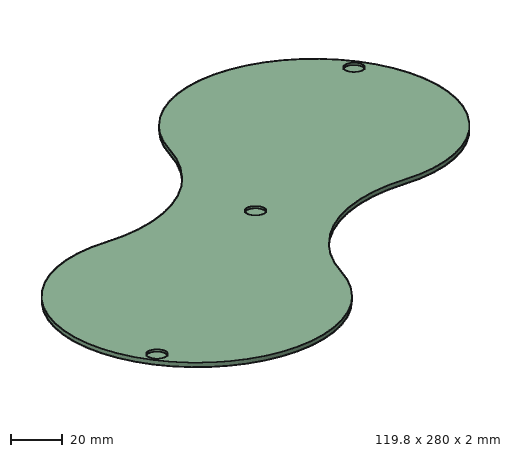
import cadquery as cq
import math

length = 280.0
lobe_diameter = 119.8
waist_width = 65.0
thickness = 2.0
recess_diameter = 8.5
recess_depth = thickness / 2
end_recess_edge_distance = 5.5

lobe_radius = lobe_diameter / 2
lobe_offset = length / 2 - lobe_radius
half_waist = waist_width / 2
end_recess_offset = length / 2 - end_recess_edge_distance

waist_radius = (half_waist**2 + lobe_offset**2 - lobe_radius**2) / (2 * (lobe_radius - half_waist))
waist_center_x = half_waist + waist_radius

center_distance = math.hypot(waist_center_x, lobe_offset)
tangent_x = waist_center_x * lobe_radius / center_distance
tangent_y = lobe_offset * (1 - lobe_radius / center_distance)


def make_plate():
    """Plate with two round lobes joined by a narrow waist."""
    return (
        cq.Workplane("XY")
        .moveTo(tangent_x, tangent_y)
        .threePointArc((0, length / 2), (-tangent_x, tangent_y))
        .threePointArc((-half_waist, 0), (-tangent_x, -tangent_y))
        .threePointArc((0, -length / 2), (tangent_x, -tangent_y))
        .threePointArc((half_waist, 0), (tangent_x, tangent_y))
        .close()
        .extrude(thickness)
    )


def make_recesses():
    """Cutters for the blind round recesses in the top face, at the middle and near both ends."""
    recess_centers = [(0, y) for y in (-end_recess_offset, 0, end_recess_offset)]
    return (
        cq.Workplane("XY")
        .workplane(offset=thickness - recess_depth)
        .pushPoints(recess_centers)
        .circle(recess_diameter / 2)
        .extrude(recess_depth)
    )


result = make_plate().cut(make_recesses())